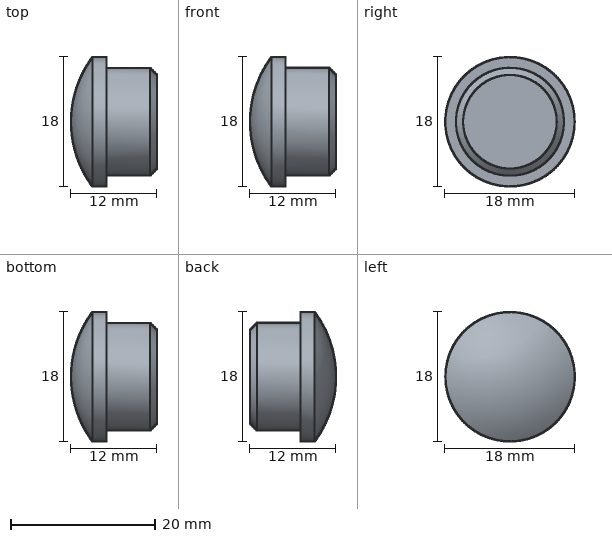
import cadquery as cq

flange_diameter = 18.0
flange_thickness = 2.0
dome_height = 3.0
shank_diameter = 15.0
shank_length = 7.0
chamfer_size = 1.0

flange_radius = flange_diameter / 2
dome_radius = (flange_radius**2 + dome_height**2) / (2 * dome_height)
rim_x = -flange_thickness
apex_x = rim_x - dome_height
dome_center_x = apex_x + dome_radius


def make_dome():
    """Spherical cap standing on the outer face of the flange."""
    sphere = cq.Workplane("XY").sphere(dome_radius).translate((dome_center_x, 0, 0))
    envelope = cq.Workplane("YZ", origin=(apex_x, 0, 0)).circle(flange_radius).extrude(dome_height)
    return sphere.intersect(envelope)


def make_flange():
    """Round head plate that seats against the hole edge."""
    return cq.Workplane("YZ", origin=(rim_x, 0, 0)).circle(flange_radius).extrude(flange_thickness)


def make_shank():
    """Solid cylindrical shank with a lead-in chamfer at its free end."""
    shank = cq.Workplane("YZ").circle(shank_diameter / 2).extrude(shank_length)
    return shank.faces(">X").chamfer(chamfer_size)


result = make_flange().union(make_dome()).union(make_shank())